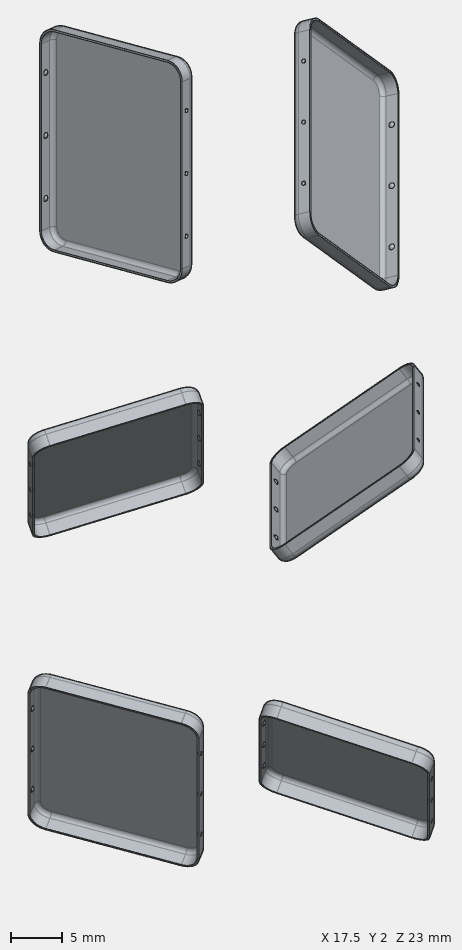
import cadquery as cq

width = 17.5
depth = 2.0
height = 23.0

wall = 0.2
corner_radius = 1.82
floor_edge_radius = 0.74
inner_edge_radius = 0.48

dimple_pitch = 6.5
dimple_from_rim = 0.7
dimple_radius = 0.2
bump_radius = 0.37


def rounded_block(block_width, block_height, block_depth, corner, edge):
    """Block from the rim plane to +Y with round corners and a rounded +Y edge."""
    return (
        cq.Workplane("XZ")
        .rect(block_width, block_height)
        .extrude(-block_depth)
        .edges("|Y")
        .fillet(corner)
        .faces(">Y")
        .edges()
        .fillet(edge)
    )


def dimple_balls(radius):
    """Balls with poles along X, centred on both outer side faces, three per side."""
    centers = [
        (side * width / 2, dimple_from_rim, row * dimple_pitch)
        for side in (-1, 1)
        for row in (-1, 0, 1)
    ]
    return cq.Workplane("XY").pushPoints(centers).sphere(radius, direct=(1, 0, 0))


outer = rounded_block(width, height, depth, corner_radius, floor_edge_radius)
cavity = rounded_block(
    width - 2 * wall,
    height - 2 * wall,
    depth - wall,
    corner_radius - wall,
    inner_edge_radius,
)
cavity = cavity.cut(dimple_balls(bump_radius))

result = outer.cut(cavity).cut(dimple_balls(dimple_radius))